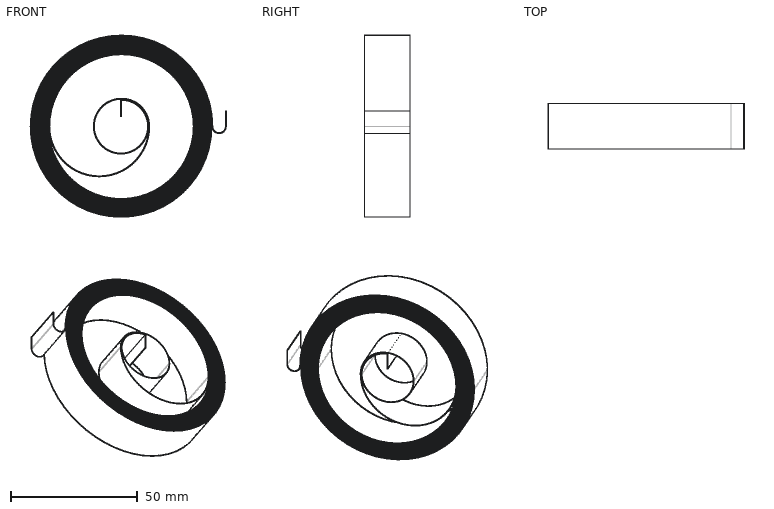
import cadquery as cq
import math

overall_length = 77.35
coil_height = 71.85
strip_width = 18.0

strip_thickness = 0.35
layer_gap = 0.0015
pitch = strip_thickness + layer_gap
layer_count = 22

coil_radius = (coil_height + pitch / 2) / 2

loop_radius = 10.7
loop_gap = 0.1
loop_outer_radius = loop_radius + strip_thickness + loop_gap
tab_length = 6.8

hook_leg = 6.0
hook_radius = (overall_length - 2 * coil_radius + strip_thickness) / 2
hook_inner_radius = hook_radius - strip_thickness
hook_center = coil_radius + hook_inner_radius
hook_tip_x = hook_center + hook_radius
hook_leg_inner_x = hook_center + hook_inner_radius


def spiral_crossings():
    """X positions where the strip's outer face crosses the X axis, from the hook to the arbor loop."""
    crossings = []
    for layer in range(layer_count):
        layer_radius = coil_radius - layer * pitch
        crossings += [layer_radius, -layer_radius]
    return crossings + [loop_outer_radius, -loop_outer_radius, loop_radius]


def half_turns(inset):
    """Start, middle and end of every half circle, set in from the outer face; upper ones come first."""
    crossings = spiral_crossings()
    arcs = []
    for start_x, end_x in zip(crossings, crossings[1:]):
        center = (start_x + end_x) / 2
        reach = (start_x - end_x) / 2
        inner_reach = math.copysign(abs(reach) - inset, reach)
        arcs.append(((center + inner_reach, 0), (center, inner_reach), (center - inner_reach, 0)))
    return arcs


def on_diagonal(radius):
    """Point at 45 degrees on a circle around the origin."""
    return (radius * math.cos(math.pi / 4), radius * math.sin(math.pi / 4))


def spring_profile():
    """Closed outline of the strip seen along its width."""
    inner_loop_radius = loop_radius - strip_thickness
    tab_start = math.sqrt(loop_radius ** 2 - strip_thickness ** 2)
    tab_end = loop_radius - tab_length

    profile = (
        cq.Workplane("XZ")
        .moveTo(hook_tip_x, hook_leg)
        .lineTo(hook_leg_inner_x, hook_leg)
        .lineTo(hook_leg_inner_x, 0)
        .threePointArc((hook_center, -hook_inner_radius), (coil_radius, 0))
    )

    for _, middle, end in half_turns(0):
        profile = profile.threePointArc(middle, end)

    profile = (
        profile
        .threePointArc(on_diagonal(loop_radius), (-strip_thickness, tab_start))
        .lineTo(-strip_thickness, tab_end)
        .lineTo(0, tab_end)
        .lineTo(0, inner_loop_radius)
        .threePointArc(on_diagonal(inner_loop_radius), (inner_loop_radius, 0))
    )

    for start, middle, _ in reversed(half_turns(strip_thickness)):
        profile = profile.threePointArc(middle, start)

    return profile.threePointArc((hook_center, -hook_radius), (hook_tip_x, 0)).close()


result = spring_profile().extrude(strip_width / 2, both=True)